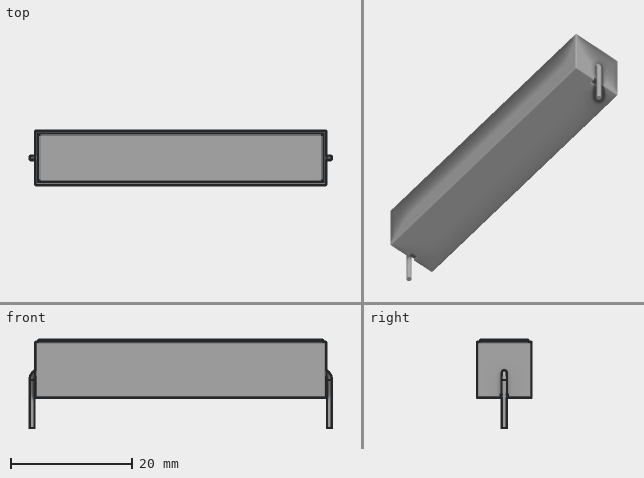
import cadquery as cq

total_length = 49.8
total_height = 14.6

case_length = 47.95
case_width = 9.0
case_height = 9.25
case_fillet = 0.225

notch_width = 1.2
notch_height = 0.6
notch_depth = 1.0

fill_rise = 0.35
fill_inset = 0.5
fill_fillet = 0.3

lead_diameter = 0.85
leg_height = 7.95
bend_radius = 1.4

case_top = total_height - fill_rise
case_bottom = case_top - case_height
lead_axis_x = (total_length - lead_diameter) / 2
sides = (-1, 1)


def make_leg(side):
    """Straight vertical pin at one end of the case."""
    return (
        cq.Workplane("XY", origin=(side * lead_axis_x, 0, 0))
        .circle(lead_diameter / 2)
        .extrude(leg_height)
    )


def make_bend(side):
    """Quarter bend from the top of a leg into the end wall of the case."""
    bend = (
        cq.Workplane("XY", origin=(lead_axis_x, 0, leg_height))
        .circle(lead_diameter / 2)
        .revolve(90, (-bend_radius, 0), (-bend_radius, -1))
    )
    return bend if side > 0 else bend.mirror("YZ")


def make_notch(side):
    """Block removed from the bottom edge of the case behind one leg."""
    return cq.Workplane(
        "XY", origin=(side * (case_length - notch_depth) / 2, 0, case_bottom)
    ).box(notch_depth, notch_width, notch_height, centered=(True, True, False))


def make_case(bends):
    """Round-edged block with a socket for each bend and a notch behind each leg."""
    case = (
        cq.Workplane("XY", origin=(0, 0, case_bottom))
        .box(case_length, case_width, case_height, centered=(True, True, False))
        .edges()
        .fillet(case_fillet)
    )
    for bend in bends:
        case = case.cut(bend)
    for side in sides:
        case = case.cut(make_notch(side))
    return case


def make_fill():
    """Low slab on the case with a rounded top rim."""
    fill_length = case_length - 2 * fill_inset
    fill_width = case_width - 2 * fill_inset
    return (
        cq.Workplane("XY", origin=(0, 0, case_top))
        .box(fill_length, fill_width, fill_rise, centered=(True, True, False))
        .faces(">Z")
        .edges()
        .fillet(fill_fillet)
    )


legs = [make_leg(side) for side in sides]
bends = [make_bend(side) for side in sides]
case = make_case(bends)
fill = make_fill()

result = cq.Compound.makeCompound(
    [
        case.val(),
        fill.val(),
        *[leg.val() for leg in legs],
        *[bend.val() for bend in bends],
    ]
)